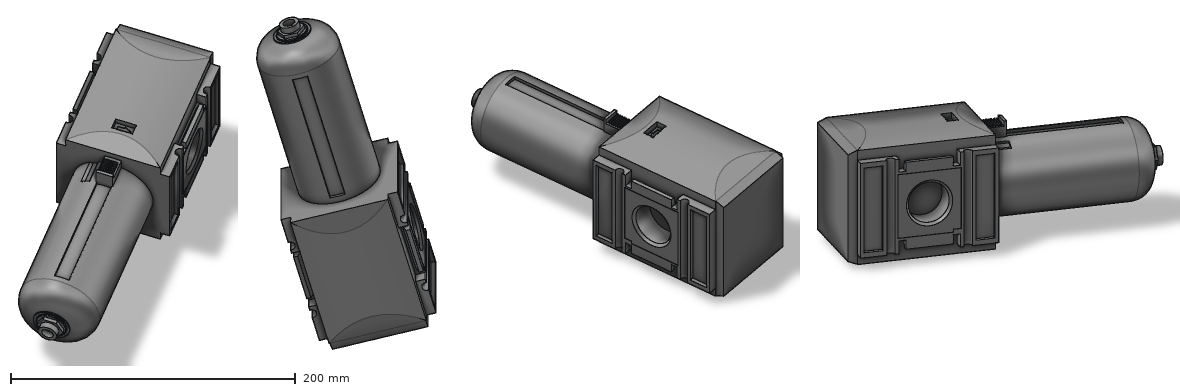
import cadquery as cq
import math


SIDE_X = 85.0 / 2
CORE = 71.0 / 2
CORE_Z = 85.5 / 2
CREST_Z = 93.2 / 2
BLOCK_LENGTH = 102.1
BLOCK_MID_Y = BLOCK_LENGTH / 2
FACET_LENGTH = 15.5
CAP_LENGTH = 6.8
CAP_X = 34.8
CAP_REAR_Z = 40.0

GROOVE_RADIUS = 3.1
GROOVE_INSET = 0.85
GROOVE_SPACING = 57.0
POCKET_SPACING = 82.8
POCKET_WIDTH = 14.0
POCKET_HEIGHT = 63.5
POCKET_DEPTH = 3.0

RECESS_WIDTH = 45.3
RECESS_FLOOR_Z = 51.5 / 2
HOOK_WIDTH = 35.0
HOOK_TOP_Z = 65.0 / 2
HOOK_TOP_X = 39.5
HOOK_FOOT_X = 37.0

PANEL_WIDTH = 46.7
PANEL_HEIGHT = 47.7
PANEL_DEPTH = 0.2
PANEL_KEY_WIDTH = 5.8
PANEL_KEY_HEIGHT = 2.2
PORT_DIAMETER = 30.2
PORT_CHAMFER = 2.0
PORT_DEPTH = 18.2

WINDOW_LENGTH_X = 15.5
WINDOW_WIDTH_Y = 8.0
WINDOW_MID_Y = 22.5
WINDOW_FLOOR_Z = 41.9
ARROW_HEIGHT = 0.5
ARROW_HALF_LENGTH = 5.0
ARROW_HEAD_HALF_WIDTH = 2.7
ARROW_SHAFT_HALF_WIDTH = 1.5

BOWL_RADIUS = 30.0
BOWL_STRAIGHT = 108.0
DOME_RADIUS = 16.2
BOWL_END = BOWL_STRAIGHT + DOME_RADIUS
SLOT_WIDTH = 11.0
SLOT_START = 4.5
SLOT_END = 104.3
SLOT_FLOOR_RADIUS = 27.5
MARK_INNER_X = 11.1
MARK_OUTER_X = 17.5
MARK_LOW_Z = 24.5
MARK_FLOOR_RADIUS = 28.5

LATCH_WIDTH = 12.5
LATCH_LENGTH = 17.7
LATCH_TOP_RADIUS = 37.8
LIP_TOP_Z = 41.1
LIP_LENGTH = 2.2
RIB_COUNT = 6
RIB_PITCH = 2.0
FIRST_RIB_Y = 4.0
RIB_WIDTH = 10.2
RIB_THICKNESS = 0.7
RIB_TOP_Z = 39.7

RIM_DIAMETER = 27.0
RIM_END = 125.0
RIM_BORE_DIAMETER = 23.0
RIM_BORE_DEPTH = 0.7
COLLAR_DIAMETER = 22.0
COLLAR_END = 125.8
HEX_ACROSS_FLATS = 17.2
HEX_END = 128.5
STEM_DIAMETER = 14.0
STEM_END = 133.0
DRAIN_HOLE_DIAMETER = 8.5
DRAIN_HOLE_DEPTH = 4.8


def box(x_range, y_range, z_range):
    """Box between the given limits along each axis."""
    limits = (x_range, y_range, z_range)
    sizes = [high - low for low, high in limits]
    middles = [(high + low) / 2 for low, high in limits]
    return cq.Workplane("XY").box(*sizes).translate(tuple(middles))


def forward_cylinder(radius, start, end):
    """Cylinder around the bowl axis, between two distances in front of the housing."""
    return cq.Workplane("XZ", origin=(0, -start, 0)).circle(radius).extrude(end - start)


def on_both_sides(shape):
    """The shape and its mirror image on the opposite X side."""
    return shape.union(shape.mirror("YZ"))


def on_top_and_bottom(shape):
    """The shape and its mirror image on the opposite Z side."""
    return shape.union(shape.mirror("XY"))



def domed_core():
    """Core with arched top and bottom, cut flat at both ends of each arch, plus the rear cap."""
    arched = (
        cq.Workplane("XZ", origin=(0, BLOCK_LENGTH, 0))
        .moveTo(-CORE, -CORE_Z)
        .threePointArc((0, -CREST_Z), (CORE, -CORE_Z))
        .lineTo(CORE, CORE_Z)
        .threePointArc((0, CREST_Z), (-CORE, CORE_Z))
        .close()
        .extrude(BLOCK_LENGTH)
    )
    facet_limits = (
        cq.Workplane("YZ")
        .polyline([
            (0, -CORE_Z),
            (FACET_LENGTH, -CREST_Z),
            (BLOCK_LENGTH - FACET_LENGTH, -CREST_Z),
            (BLOCK_LENGTH, -CORE_Z),
            (BLOCK_LENGTH, CORE_Z),
            (BLOCK_LENGTH - FACET_LENGTH, CREST_Z),
            (FACET_LENGTH, CREST_Z),
            (0, CORE_Z),
        ])
        .close()
        .extrude(CORE, both=True)
    )
    cap = (
        cq.Workplane("YZ")
        .polyline([
            (BLOCK_LENGTH, -CORE_Z),
            (BLOCK_LENGTH + CAP_LENGTH, -CAP_REAR_Z),
            (BLOCK_LENGTH + CAP_LENGTH, CAP_REAR_Z),
            (BLOCK_LENGTH, CORE_Z),
        ])
        .close()
        .extrude(CAP_X, both=True)
    )
    return arched.intersect(facet_limits).union(cap)


def pad_grooves_and_pockets():
    """Upright round grooves and rectangular pockets of the -X pad."""
    grooves = (
        cq.Workplane("XY")
        .pushPoints([(GROOVE_INSET - SIDE_X, BLOCK_MID_Y + s * GROOVE_SPACING / 2) for s in (-1, 1)])
        .circle(GROOVE_RADIUS)
        .extrude(CORE, both=True)
    )
    pockets = (
        cq.Workplane("YZ", origin=(-SIDE_X, 0, 0))
        .pushPoints([(BLOCK_MID_Y + s * POCKET_SPACING / 2, 0) for s in (-1, 1)])
        .rect(POCKET_WIDTH, POCKET_HEIGHT)
        .extrude(POCKET_DEPTH)
    )
    return grooves.union(pockets)


def clamp_recess():
    """Recess at the top of the -X pad that leaves a hook with a sloped inner side."""
    recess = box(
        (-SIDE_X, -CORE),
        (BLOCK_MID_Y - RECESS_WIDTH / 2, BLOCK_MID_Y + RECESS_WIDTH / 2),
        (RECESS_FLOOR_Z, CORE),
    )
    hook = (
        cq.Workplane("XZ", origin=(0, BLOCK_MID_Y, 0))
        .polyline([
            (-SIDE_X, RECESS_FLOOR_Z),
            (-HOOK_FOOT_X, RECESS_FLOOR_Z),
            (-HOOK_TOP_X, HOOK_TOP_Z),
            (-SIDE_X, HOOK_TOP_Z),
        ])
        .close()
        .extrude(HOOK_WIDTH / 2, both=True)
    )
    return recess.cut(hook)


def port():
    """Shallow square panel with a keyed corner, and the chamfered blind port, on the -X side."""
    front_y = BLOCK_MID_Y - PANEL_WIDTH / 2
    panel_x = PANEL_DEPTH - SIDE_X
    panel = box(
        (-SIDE_X, panel_x),
        (front_y, front_y + PANEL_WIDTH),
        (-PANEL_HEIGHT / 2, PANEL_HEIGHT / 2),
    )
    key = box(
        (-SIDE_X, panel_x),
        (front_y, front_y + PANEL_KEY_WIDTH),
        (-PANEL_HEIGHT / 2, PANEL_KEY_HEIGHT - PANEL_HEIGHT / 2),
    )
    radius = PORT_DIAMETER / 2
    bore = (
        cq.Workplane("XY")
        .polyline([
            (panel_x, 0),
            (panel_x, radius + PORT_CHAMFER),
            (panel_x + PORT_CHAMFER, radius),
            (panel_x + PORT_DEPTH, radius),
            (panel_x + PORT_DEPTH, 0),
        ])
        .close()
        .revolve(360, (0, 0, 0), (1, 0, 0))
        .translate((0, BLOCK_MID_Y, 0))
    )
    return panel.cut(key).union(bore)


def arrow_window():
    """Rectangular window sunk into the top dome, around a raised arrow that points to +X."""
    window = box(
        (-WINDOW_LENGTH_X / 2, WINDOW_LENGTH_X / 2),
        (WINDOW_MID_Y - WINDOW_WIDTH_Y / 2, WINDOW_MID_Y + WINDOW_WIDTH_Y / 2),
        (WINDOW_FLOOR_Z, CREST_Z),
    )
    arrow = (
        cq.Workplane("XY", origin=(0, WINDOW_MID_Y, WINDOW_FLOOR_Z))
        .polyline([
            (-ARROW_HALF_LENGTH, -ARROW_SHAFT_HALF_WIDTH),
            (0, -ARROW_SHAFT_HALF_WIDTH),
            (0, -ARROW_HEAD_HALF_WIDTH),
            (ARROW_HALF_LENGTH, 0),
            (0, ARROW_HEAD_HALF_WIDTH),
            (0, ARROW_SHAFT_HALF_WIDTH),
            (-ARROW_HALF_LENGTH, ARROW_SHAFT_HALF_WIDTH),
        ])
        .close()
        .extrude(ARROW_HEIGHT)
    )
    return window.cut(arrow)


def make_housing():
    pads = box((-SIDE_X, SIDE_X), (0, BLOCK_LENGTH), (-CORE, CORE))
    return (
        domed_core()
        .union(pads)
        .cut(on_both_sides(pad_grooves_and_pockets()))
        .cut(on_both_sides(on_top_and_bottom(clamp_recess())))
        .cut(on_both_sides(port()))
        .cut(arrow_window())
    )



def bowl_shell():
    """Cylinder whose front edge is rounded into a flat end."""
    return (
        forward_cylinder(BOWL_RADIUS, 0, BOWL_END)
        .faces("<Y")
        .edges()
        .fillet(DOME_RADIUS)
    )


def long_slot():
    """Lengthwise slot along the top of the bowl, with a floor concentric to the bowl."""
    slot = box(
        (-SLOT_WIDTH / 2, SLOT_WIDTH / 2),
        (-SLOT_END, -SLOT_START),
        (0, BOWL_RADIUS),
    )
    return slot.cut(forward_cylinder(SLOT_FLOOR_RADIUS, 0, BOWL_END))


def alignment_mark():
    """Short square-sided recess beside the latch, with a floor concentric to the bowl."""
    mark = box(
        (-MARK_OUTER_X, -MARK_INNER_X),
        (-LATCH_LENGTH, 0),
        (MARK_LOW_Z, BOWL_RADIUS),
    )
    return mark.cut(forward_cylinder(MARK_FLOOR_RADIUS, 0, BOWL_END))


def latch():
    """Latch button on top of the bowl, with grip ribs and a raised front lip."""
    half_width = LATCH_WIDTH / 2
    button = box((-half_width, half_width), (-LATCH_LENGTH, 0), (0, LATCH_TOP_RADIUS))
    button = button.intersect(forward_cylinder(LATCH_TOP_RADIUS, 0, LATCH_LENGTH))
    lip = box(
        (-half_width, half_width),
        (-LATCH_LENGTH, LIP_LENGTH - LATCH_LENGTH),
        (BOWL_RADIUS, LIP_TOP_Z),
    )
    button = button.union(lip)
    for index in range(RIB_COUNT):
        rib_y = -(FIRST_RIB_Y + index * RIB_PITCH)
        rib = box(
            (-RIB_WIDTH / 2, RIB_WIDTH / 2),
            (rib_y - RIB_THICKNESS / 2, rib_y + RIB_THICKNESS / 2),
            (BOWL_RADIUS, RIB_TOP_Z),
        )
        button = button.union(rib)
    return button.cut(forward_cylinder(SLOT_FLOOR_RADIUS, 0, LATCH_LENGTH))


def drain():
    """Raised rim around a collar, hexagon and drilled stem, in front of the bowl end."""
    rim_bore_start = RIM_END - RIM_BORE_DEPTH
    rim = forward_cylinder(RIM_DIAMETER / 2, BOWL_END, RIM_END)
    rim = rim.cut(forward_cylinder(RIM_BORE_DIAMETER / 2, rim_bore_start, RIM_END))
    collar = forward_cylinder(COLLAR_DIAMETER / 2, rim_bore_start, COLLAR_END)
    hexagon = (
        cq.Workplane("XZ", origin=(0, -COLLAR_END, 0))
        .polygon(6, HEX_ACROSS_FLATS / math.cos(math.pi / 6))
        .extrude(HEX_END - COLLAR_END)
    )
    stem = forward_cylinder(STEM_DIAMETER / 2, HEX_END, STEM_END)
    hole = forward_cylinder(DRAIN_HOLE_DIAMETER / 2, STEM_END - DRAIN_HOLE_DEPTH, STEM_END)
    return rim.union(collar).union(hexagon).union(stem).cut(hole)


def make_bowl():
    return (
        bowl_shell()
        .cut(on_top_and_bottom(long_slot()))
        .cut(alignment_mark())
        .union(latch())
        .union(drain())
    )


housing = make_housing().solids()
bowl = make_bowl().solids()

result = cq.Compound.makeCompound([housing.val(), bowl.val()])